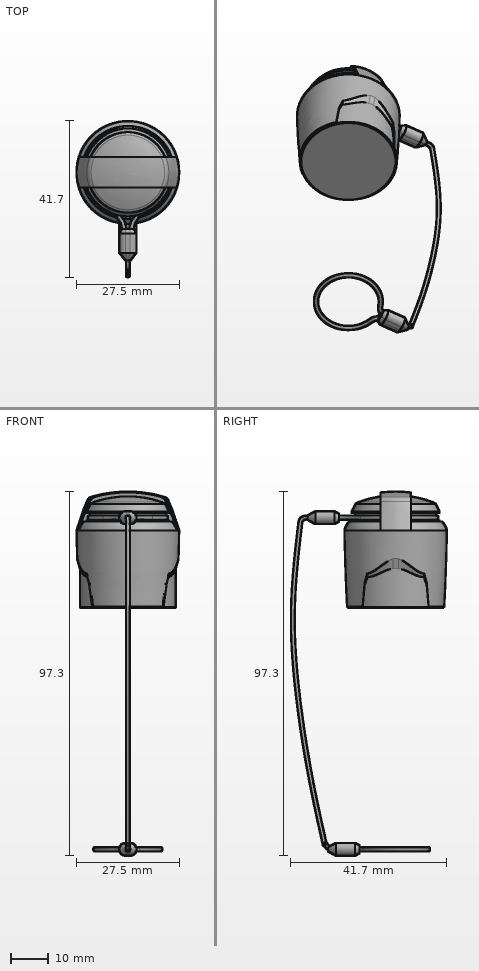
import cadquery as cq
import math


BODY_MAX_R = 13.74
BODY_MID_R = 13.5
BODY_MID_Z = 11.5
BODY_BASE_R = 13.0
BASE_CHAMFER = 0.4
BODY_EDGE_Z = 20.7
SHOULDER_Z = 23.1
SHOULDER_R = 12.4
SHOULDER_BULGE = 0.12

GROOVE_R = 10.9
GROOVE_TOP_Z = 25.4
LIP_R = 11.75
LIP_HEIGHT = 0.3
HEAD_TOP_R = 10.75
HEAD_TOP_Z = 27.8
DOME_R = 9.95
DOME_EDGE_Z = 28.25
DOME_TOP_Z = 30.1

STRAP_WIDTH = 8.16
STRAP_TOP_Z = 31.1
STRAP_CORNER_R = 10.95
STRAP_CORNER_Z = 28.4
STRAP_CORNER_BULGE = 0.15
STRAP_TOP_R = 9.8
STRAP_TOP_EDGE_Z = 29.65

RECESS_R = 12.82
RECESS_NEAR_X = 9.0
RECESS_FAR_X = 14.0
RECESS_NEAR = [(8.9, -1.0), (8.2, 5.7), (7.4, 6.5), (0.7, -3.2)]
RECESS_FAR = [(9.4, -1.0), (8.6, 9.0), (7.9, 13.0), (0.7, 14.8)]

WIRE_D = 1.1
KINK_R = 0.62
LOOP_WIRE_D = 1.2
LUG_THICKNESS = 3.5
LUG_WIDTH = 4.65
LUG_LENGTH = 5.1
LUG_FRONT_TAPER = 1.25
LUG_REAR_TAPER = 2.1
LUG_FRONT_INSET = 0.7
LUG_REAR_THICKNESS = 1.2
LUG_REAR_WIDTH = 1.3
UPPER_LUG_Y = -15.1
LOWER_LUG_Y = -9.6
UPPER_LOOP_Z = 24.1
TOTAL_HEIGHT = 97.28
LOWER_LOOP_Z = STRAP_TOP_Z - TOTAL_HEIGHT + LUG_THICKNESS / 2
UPPER_LOOP_R = 10.9
LOWER_LOOP_R = 8.65
UPPER_LOOP_OPENING = 35.0
LOWER_LOOP_OPENING = 20.0
STRAND_OFFSET = 0.9
STRAND_OVERLAP = 1.0

LUG_TOTAL = LUG_FRONT_TAPER + LUG_LENGTH + LUG_REAR_TAPER
TETHER_BOW = [(-27.45, -4.0), (-25.6, -27.4)]
TETHER_BOTTOM = (-18.95, -63.0)
TETHER_END_OVERLAP = 0.5
TETHER_TOP_LEAN = 7.0
TETHER_BOTTOM_LEAN = 13.0
BEND_START_Y = -24.05
BEND_R = 1.4


def bulged_middle(start, end, bulge):
    """Midpoint of two (radius, Z) points, moved outward and upward by the bulge."""
    return ((start[0] + end[0]) / 2 + bulge, (start[1] + end[1]) / 2 + bulge)


def dome_point(edge_r, edge_z, top_z):
    """Point halfway out on a shallow dome, where it has dropped a quarter of its rise."""
    return (edge_r / 2, top_z - (top_z - edge_z) / 4)


def make_body():
    """Revolve the cap body with its shoulder, tether groove and domed head."""
    shoulder_mid = bulged_middle((BODY_MAX_R, BODY_EDGE_Z), (SHOULDER_R, SHOULDER_Z), SHOULDER_BULGE)
    dome_mid = dome_point(DOME_R, DOME_EDGE_Z, DOME_TOP_Z)
    return (
        cq.Workplane("XZ")
        .moveTo(0, 0)
        .lineTo(BODY_BASE_R - BASE_CHAMFER, 0)
        .lineTo(BODY_BASE_R, BASE_CHAMFER)
        .threePointArc((BODY_MID_R, BODY_MID_Z), (BODY_MAX_R, BODY_EDGE_Z))
        .threePointArc(shoulder_mid, (SHOULDER_R, SHOULDER_Z))
        .lineTo(LIP_R, SHOULDER_Z)
        .lineTo(LIP_R, SHOULDER_Z + LIP_HEIGHT)
        .lineTo(GROOVE_R, SHOULDER_Z + LIP_HEIGHT)
        .lineTo(GROOVE_R, GROOVE_TOP_Z)
        .lineTo(LIP_R, GROOVE_TOP_Z)
        .lineTo(LIP_R, GROOVE_TOP_Z + LIP_HEIGHT)
        .lineTo(HEAD_TOP_R, HEAD_TOP_Z)
        .lineTo(DOME_R, DOME_EDGE_Z)
        .threePointArc(dome_mid, (0, DOME_TOP_Z))
        .close()
        .revolve(360, (0, 0), (0, 1))
    )


def make_strap():
    """Strap: a slice of a revolved shape reaching over the head from edge to edge."""
    edge = (BODY_MAX_R, BODY_EDGE_Z)
    corner_low = (STRAP_CORNER_R, STRAP_CORNER_Z)
    corner_high = (STRAP_TOP_R, STRAP_TOP_EDGE_Z)
    top_mid = dome_point(STRAP_TOP_R, STRAP_TOP_EDGE_Z, STRAP_TOP_Z)
    turned = (
        cq.Workplane("XZ")
        .moveTo(0, BODY_EDGE_Z)
        .lineTo(*edge)
        .threePointArc(bulged_middle(edge, corner_low, SHOULDER_BULGE), corner_low)
        .threePointArc(bulged_middle(corner_low, corner_high, STRAP_CORNER_BULGE), corner_high)
        .threePointArc(top_mid, (0, STRAP_TOP_Z))
        .close()
        .revolve(360, (0, 0), (0, 1))
    )
    slab = cq.Workplane("XY").box(2 * BODY_MAX_R, STRAP_WIDTH, STRAP_TOP_Z, centered=(True, True, False))
    return turned.intersect(slab)


def make_recess():
    """Cutter for the +X side recess: a flaring arch around a cylindrical floor."""
    def outline(half):
        mirrored = [(-y, z) for y, z in reversed(half)]
        return half + mirrored

    flare = (
        cq.Workplane("YZ", origin=(RECESS_NEAR_X, 0, 0))
        .polyline(outline(RECESS_NEAR)).close()
        .workplane(offset=RECESS_FAR_X - RECESS_NEAR_X)
        .polyline(outline(RECESS_FAR)).close()
        .loft(ruled=True)
    )
    floor = cq.Workplane("XY").cylinder(2 * STRAP_TOP_Z, RECESS_R)
    return flare.cut(floor)


def lug_section(y, z, width, thickness):
    """Oval section of a lug on a plane that faces -Y."""
    return cq.Workplane("XZ", origin=(0, y, z)).slot2D(width, thickness)


def make_lug(front_y, z):
    """Flat-sided oval lug along -Y with a short front taper and a long rear taper."""
    body_y = front_y - LUG_FRONT_TAPER
    rear_y = body_y - LUG_LENGTH
    tip_thickness = LUG_THICKNESS - 2 * LUG_FRONT_INSET
    tip_width = LUG_WIDTH - 2 * LUG_FRONT_INSET
    front = (
        lug_section(front_y, z, tip_width, tip_thickness)
        .workplane(offset=LUG_FRONT_TAPER)
        .slot2D(LUG_WIDTH, LUG_THICKNESS)
        .loft(ruled=True)
    )
    middle = lug_section(body_y, z, LUG_WIDTH, LUG_THICKNESS).extrude(LUG_LENGTH)
    rear = (
        lug_section(rear_y, z, LUG_WIDTH, LUG_THICKNESS)
        .workplane(offset=LUG_REAR_TAPER)
        .slot2D(LUG_REAR_WIDTH, LUG_REAR_THICKNESS)
        .loft(ruled=True)
    )
    return middle.union(front).union(rear)


def sweep_wire(edge, start, direction):
    """Round loop wire along a level edge, from its start point and direction."""
    plane = cq.Plane(origin=start, xDir=(0, 0, 1), normal=direction)
    path = cq.Workplane(cq.Wire.assembleEdges([edge]))
    return cq.Workplane(plane).circle(LOOP_WIRE_D / 2).sweep(path)


def make_loop(radius, opening, lug_y, z):
    """Open wire ring whose two ends curve into the lug."""
    half_gap = math.radians(opening)
    x_end = radius * math.sin(half_gap)
    y_end = -radius * math.cos(half_gap)
    right_end = cq.Vector(x_end, y_end, z)
    left_end = cq.Vector(-x_end, y_end, z)
    toward_gap = cq.Vector(-math.cos(half_gap), -math.sin(half_gap), 0)
    away_from_gap = cq.Vector(-math.cos(half_gap), math.sin(half_gap), 0)
    ring = cq.Edge.makeThreePointArc(left_end, cq.Vector(0, radius, z), right_end)
    strand = cq.Edge.makeSpline(
        [right_end, cq.Vector(STRAND_OFFSET, lug_y - STRAND_OVERLAP, z)],
        tangents=[toward_gap, cq.Vector(0, -1, 0)],
    )
    right_strand = sweep_wire(strand, right_end, toward_gap)
    left_strand = right_strand.mirror("YZ")
    return sweep_wire(ring, left_end, away_from_gap).union(right_strand).union(left_strand)


def make_tether():
    """Bowed wire hanging from the rear of the upper lug, with a kinked link to the lower lug."""
    upper_start_y = UPPER_LUG_Y - LUG_TOTAL + TETHER_END_OVERLAP
    lower_end_y = LOWER_LUG_Y - LUG_TOTAL + TETHER_END_OVERLAP
    top_lean = math.radians(TETHER_TOP_LEAN)
    bottom_lean = math.radians(TETHER_BOTTOM_LEAN)
    bend_end = (
        BEND_START_Y - BEND_R * math.cos(top_lean),
        UPPER_LOOP_Z - BEND_R * (1 - math.sin(top_lean)),
    )
    path = (
        cq.Workplane("YZ")
        .moveTo(upper_start_y, UPPER_LOOP_Z)
        .lineTo(BEND_START_Y, UPPER_LOOP_Z)
        .tangentArcPoint(bend_end, relative=False)
        .spline(
            TETHER_BOW + [TETHER_BOTTOM],
            tangents=[
                (-math.sin(top_lean), -math.cos(top_lean)),
                (math.sin(bottom_lean), -math.cos(bottom_lean)),
            ],
            includeCurrent=True,
        )
    )
    start = cq.Workplane("XZ", origin=(0, upper_start_y, UPPER_LOOP_Z))
    bow = start.circle(WIRE_D / 2).sweep(path)

    kink = cq.Vector(0, *TETHER_BOTTOM)
    link_vector = cq.Vector(0, lower_end_y, LOWER_LOOP_Z) - kink
    joint = cq.Workplane(origin=kink).sphere(KINK_R)
    link = cq.Workplane(cq.Solid.makeCylinder(WIRE_D / 2, link_vector.Length, kink, link_vector))
    return bow.union(joint).union(link)


recess = make_recess()
cap = make_body().cut(recess).cut(recess.mirror("YZ")).union(make_strap())
upper_end = make_loop(UPPER_LOOP_R, UPPER_LOOP_OPENING, UPPER_LUG_Y, UPPER_LOOP_Z).union(
    make_lug(UPPER_LUG_Y, UPPER_LOOP_Z)
)
lower_end = make_loop(LOWER_LOOP_R, LOWER_LOOP_OPENING, LOWER_LUG_Y, LOWER_LOOP_Z).union(
    make_lug(LOWER_LUG_Y, LOWER_LOOP_Z)
)
result = cap.union(upper_end).union(make_tether()).union(lower_end)